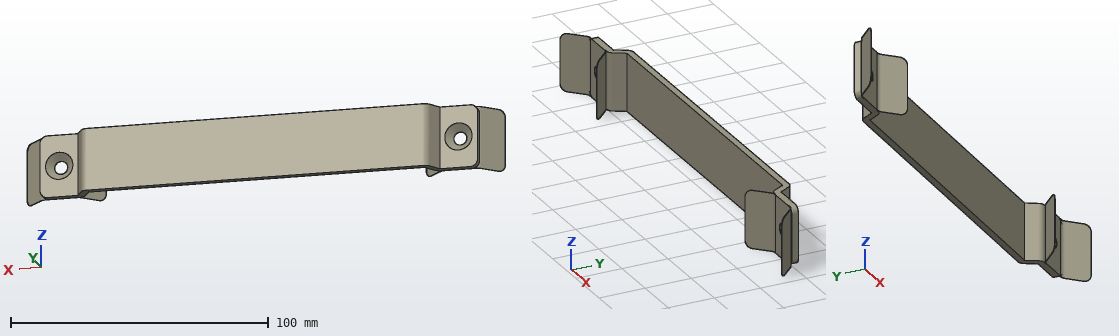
import cadquery as cq
import math

length = 192.0
depth = 17.7
height = 25.0

strap_thickness = 2.9
foot_step = 6.1
joggle_angle = math.radians(60)
foot_bend_x = 72.5
foot_end_x = 87.7
foot_corner_radius = 2.9

clip_thickness = 0.29
clip_center_x = 80.0
clip_bend_radius = 2.5
clip_angle = math.radians(45)
clip_corner_radius = 3.0

hole_diameter = 5.2
countersink_angle = 90

strap_front_y = -strap_thickness
foot_back_y = -foot_step
foot_front_y = foot_back_y - strap_thickness


def polar(center, radius, angle):
    """Point at the given radius and angle from a center."""
    return (center[0] + radius * math.cos(angle), center[1] + radius * math.sin(angle))


def make_strap_half():
    """Right half of the strap, with sharp inner and rounded outer bends."""
    foot_corner = (foot_bend_x, foot_back_y)
    web_rise = strap_front_y - foot_back_y
    web_run = (strap_thickness + web_rise * math.cos(joggle_angle)) / math.sin(joggle_angle)
    middle_corner = (foot_bend_x - web_run, strap_front_y)
    web_normal = math.pi / 2 - joggle_angle
    back_arc_mid = polar(middle_corner, strap_thickness, (web_normal + math.pi / 2) / 2)
    back_arc_end = polar(middle_corner, strap_thickness, web_normal)
    front_arc_start = polar(foot_corner, strap_thickness, web_normal + math.pi)
    front_arc_mid = polar(foot_corner, strap_thickness, (web_normal + math.pi / 2) / 2 + math.pi)
    half = (
        cq.Workplane("XY")
        .moveTo(0, 0)
        .lineTo(middle_corner[0], 0)
        .threePointArc(back_arc_mid, back_arc_end)
        .lineTo(*foot_corner)
        .lineTo(foot_end_x, foot_back_y)
        .lineTo(foot_end_x, foot_front_y)
        .lineTo(foot_bend_x, foot_front_y)
        .threePointArc(front_arc_mid, front_arc_start)
        .lineTo(*middle_corner)
        .lineTo(0, strap_front_y)
        .close()
        .extrude(height / 2, both=True)
    )
    return half.edges("|Y and >X").fillet(foot_corner_radius)


def make_clip_half():
    """Half of a clip: flat, bend and flap, reaching towards +X from X = 0."""
    outer_radius = clip_bend_radius + clip_thickness
    tip_back_x = length / 2 - clip_center_x
    tip_front = (tip_back_x - clip_thickness * math.sin(clip_angle), -depth)
    tip_back_y = -depth + clip_thickness * math.cos(clip_angle)

    bend_center_y = foot_front_y - outer_radius
    arc_end_y = bend_center_y + clip_bend_radius * math.cos(clip_angle)
    arc_end_x = tip_front[0] - (arc_end_y + depth) / math.tan(clip_angle)
    bend_center = (arc_end_x - clip_bend_radius * math.sin(clip_angle), bend_center_y)
    end_angle = math.pi / 2 - clip_angle
    mid_angle = (math.pi / 2 + end_angle) / 2

    half = (
        cq.Workplane("XY")
        .moveTo(0, foot_front_y)
        .lineTo(bend_center[0], foot_front_y)
        .threePointArc(
            polar(bend_center, outer_radius, mid_angle),
            polar(bend_center, outer_radius, end_angle),
        )
        .lineTo(tip_back_x, tip_back_y)
        .lineTo(*tip_front)
        .lineTo(*polar(bend_center, clip_bend_radius, end_angle))
        .threePointArc(
            polar(bend_center, clip_bend_radius, mid_angle),
            (bend_center[0], foot_front_y - clip_thickness),
        )
        .lineTo(0, foot_front_y - clip_thickness)
        .close()
        .extrude(height / 2, both=True)
    )
    tip_selector = cq.selectors.NearestToPointSelector((tip_back_x, -depth, 0))
    tip_corners = half.faces(tip_selector).edges("<Z or >Z")
    return tip_corners.fillet(clip_corner_radius)


def make_clip():
    half = make_clip_half()
    return half.union(half.mirror("YZ")).translate((clip_center_x, 0, 0))


def make_hole():
    """Cutter for the hole at a foot, countersunk from the back of the foot."""
    countersink_slope = math.tan(math.radians(countersink_angle / 2))
    back_radius = hole_diameter / 2 + strap_thickness * countersink_slope
    front_y = foot_front_y - clip_thickness
    return (
        cq.Workplane("XY")
        .moveTo(0, foot_back_y)
        .lineTo(back_radius, foot_back_y)
        .lineTo(hole_diameter / 2, foot_front_y)
        .lineTo(hole_diameter / 2, front_y)
        .lineTo(0, front_y)
        .close()
        .revolve(360, (0, 0, 0), (0, 1, 0))
        .translate((clip_center_x, 0, 0))
    )


right_half = make_strap_half().union(make_clip()).cut(make_hole())
result = right_half.union(right_half.mirror("YZ")).clean()